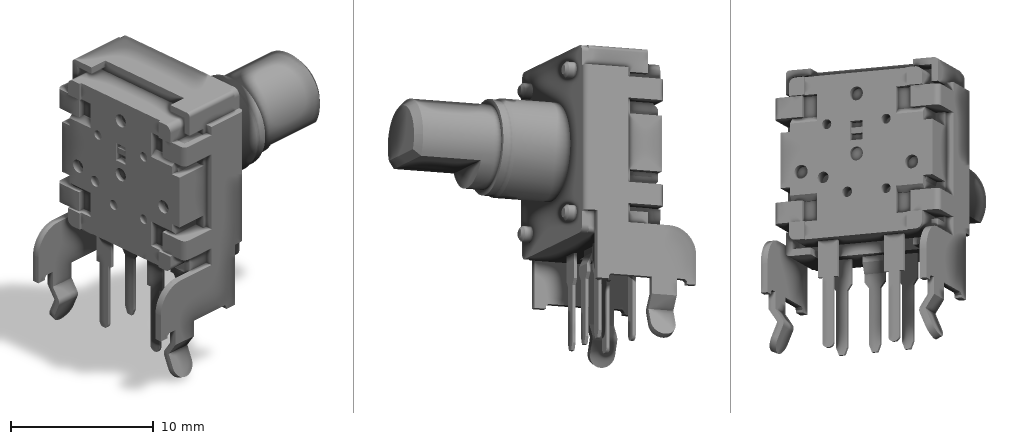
import cadquery as cq
import math


SHAFT_RADIUS = 3.0
SHAFT_TIP_Y = 11.4
SHAFT_TIP_CHAMFER = 0.5
FLAT_DEPTH_Z = -1.5
FLAT_START_Y = 6.39
BUSHING_RADIUS = 3.5
BUSHING_END_Y = 4.12
NECK_RADIUS = 3.4
NECK_START_Y = 4.4
NECK_END_Y = 5.0

PEG_RADIUS = 0.55
PEG_HEIGHT = 0.8
PEG_CHAMFER = 0.2
PEG_X = 4.2
PEG_Z = 5.1

CASE_HALF_WIDTH = 5.75
CASE_HALF_HEIGHT = 6.7
CASE_FRONT_Y = -3.6
CASE_EDGE_RADIUS = 0.29
PLATE_THICKNESS = 0.5
PLATE_CORNER_RADIUS = 0.5
CORNER_WALL = 0.5
CORNER_WALL_FRONT_Y = -4.99
CORNER_WALL_INNER_X = 3.87
CORNER_WALL_INNER_Z = 4.96

BRACKET_THICKNESS = 0.52
BLOCK_HALF_WIDTH = 5.03
BLOCK_HALF_HEIGHT = 5.85
BLOCK_FRONT_Y = -6.02
BLOCK_CORNER_RADIUS = 0.5
WAIST_HALF_HEIGHT = 2.0
PAD_HEIGHT = 0.16
RECESS_INNER_X = 2.99
RECESS_DEPTH = BRACKET_THICKNESS
RECESS_OUTER_Z = 4.55
RECESS_INNER_Z = 2.6
RECESS_CHAMFER = 0.41
SEAT_TOP_GAP = 0.06
GUSSET_WIDTH = 0.1
GUSSET_HEIGHT = 0.29

BRACKET_OUTER_X = CASE_HALF_WIDTH + BRACKET_THICKNESS
BRACKET_HALF_HEIGHT = 5.2
BRACKET_BEND_RADIUS = 0.41
BRACKET_WINDOW_Y = -3.32
CLIP_INNER_Z = 3.0
CLIP_OUTER_Z = 4.53
CLIP_END_X = 4.1
LOWER_BACK_Y = -0.95
LOWER_FRONT_Y = -8.4
LOWER_TOP_Z = -5.9
LOWER_ARC_RADIUS = 2.02
FOOT_PAD_Z = -10.01
BRACKET_BOTTOM_Z = -9.66
FOOT_PAD_CHAMFER = 0.16
BACK_PAD_Y = -1.81
FRONT_PAD_Y = -7.72
LEG_BACK_Y = -5.07
LEG_FRONT_Y = -6.95
LEG_BEND_Z = -10.88
KNEE_OUTER = (5.6, -11.85)
KNEE_RADIUS = 0.5
LEG_TIP_OUTER = (6.4, -13.7)

PIN_THICKNESS = 0.25
PIN_WIDTH = 0.82
PIN_TIP_Z = -13.55
PIN_SPACING = 2.5
PIN_SHOULDER_WIDTH = 1.46
PIN_SHOULDER_Z = -8.49
FRONT_PIN_BACK_Y = -4.92
FRONT_PIN_TIP_RADIUS = 0.37
REAR_PIN_BACK_Y = -2.35
REAR_PIN_TAPER_END_Z = -8.95
REAR_PIN_POINT_Z = -13.05
REAR_PIN_TIP_HALF_WIDTH = 0.2
CENTRE_PIN_SHOULDER_WIDTH = 1.55
CENTRE_PIN_STEP = 0.37
STEP_TOP_Z = -7.1
STEP_BOTTOM_Z = -7.91

LARGE_HOLE_RADIUS = 0.5
LARGE_HOLE_DEPTH = 0.6
CENTRE_HOLE_DEPTH = 0.35
SMALL_HOLE_DEPTH = 0.99
FACE_HOLES = [
    (0, 4.33, LARGE_HOLE_RADIUS, LARGE_HOLE_DEPTH),
    (-4.18, -0.95, LARGE_HOLE_RADIUS, LARGE_HOLE_DEPTH),
    (4.18, -0.95, LARGE_HOLE_RADIUS, LARGE_HOLE_DEPTH),
    (0, 0, LARGE_HOLE_RADIUS, CENTRE_HOLE_DEPTH),
    (-2.25, 2.3, 0.35, SMALL_HOLE_DEPTH),
    (2.25, 2.3, 0.35, SMALL_HOLE_DEPTH),
    (2.25, -2.7, 0.35, SMALL_HOLE_DEPTH),
    (-0.7, -2.7, 0.37, SMALL_HOLE_DEPTH),
    (-2.51, -1.5, 0.41, SMALL_HOLE_DEPTH),
]
SLOT_HALF_WIDTH = 0.47
SLOT_TOP_Z = 2.37
SLOT_BOTTOM_Z = 0.99
SLOT_DEPTH = 0.6
SLOT_BAR_TOP_Z = 1.94
SLOT_BAR_BOTTOM_Z = 1.5
SLOT_BAR_SETBACK = 0.16


def box(x0, x1, y0, y1, z0, z1):
    """Box between two opposite corners."""
    corner = (min(x0, x1), min(y0, y1), min(z0, z1))
    return cq.Workplane("XY").box(abs(x1 - x0), abs(y1 - y0), abs(z1 - z0), centered=False).translate(corner)


def facing_back(y):
    """Workplane at the given Y, with local axes (-X, Z) and its normal along +Y."""
    return cq.Workplane("XZ", origin=(0, y, 0)).transformed(rotate=(0, 180, 0))


def mirrored(part):
    """The part together with its mirror image across X = 0."""
    return part.union(part.mirror("YZ"))


def line_crossing(point, direction, other_point, other_direction):
    """Point where two lines in a plane cross, each given by a point and a direction."""
    gap = (other_point[0] - point[0], other_point[1] - point[1])
    span = direction[0] * other_direction[1] - direction[1] * other_direction[0]
    along = (gap[0] * other_direction[1] - gap[1] * other_direction[0]) / span
    return point[0] + along * direction[0], point[1] + along * direction[1]


def make_shaft():
    shaft = facing_back(NECK_END_Y).circle(SHAFT_RADIUS).extrude(SHAFT_TIP_Y - NECK_END_Y)
    flat = box(-SHAFT_RADIUS, SHAFT_RADIUS, FLAT_START_Y, SHAFT_TIP_Y, -SHAFT_RADIUS, FLAT_DEPTH_Z)
    return shaft.cut(flat).faces(">Y").chamfer(SHAFT_TIP_CHAMFER)


def make_bushing():
    """Bushing with a narrower neck; the shaft stands on the end of the neck."""
    profile = [
        (0, CASE_FRONT_Y),
        (BUSHING_RADIUS, CASE_FRONT_Y),
        (BUSHING_RADIUS, BUSHING_END_Y),
        (NECK_RADIUS, NECK_START_Y),
        (NECK_RADIUS, NECK_END_Y),
        (0, NECK_END_Y),
    ]
    return cq.Workplane("XY").polyline(profile).close().revolve(360, (0, 0, 0), (0, 1, 0))


def make_pegs():
    centres = [(x, z) for x in (-PEG_X, PEG_X) for z in (-PEG_Z, PEG_Z)]
    pegs = facing_back(-PLATE_THICKNESS).pushPoints(centres).circle(PEG_RADIUS)
    return pegs.extrude(PLATE_THICKNESS + PEG_HEIGHT).faces(">Y").chamfer(PEG_CHAMFER)


def make_corner_wall(side_z):
    """L-shaped wall standing on the front of the case at its -X edge, at the top or the bottom."""
    wall = box(-CASE_HALF_WIDTH, -CORNER_WALL_INNER_X, CASE_FRONT_Y, CORNER_WALL_FRONT_Y,
               side_z * CORNER_WALL_INNER_Z, side_z * CASE_HALF_HEIGHT)
    gap = box(-CASE_HALF_WIDTH + CORNER_WALL, 0, CASE_FRONT_Y, CORNER_WALL_FRONT_Y,
              0, side_z * (CASE_HALF_HEIGHT - CORNER_WALL))
    outer_edge = "|Y and <X and >Z" if side_z > 0 else "|Y and <X and <Z"
    return wall.edges(outer_edge).fillet(CASE_EDGE_RADIUS).cut(gap)


def make_case():
    width = 2 * CASE_HALF_WIDTH
    height = 2 * CASE_HALF_HEIGHT
    case = facing_back(CASE_FRONT_Y).rect(width, height).extrude(-CASE_FRONT_Y - PLATE_THICKNESS)
    case = case.edges("|Y").fillet(CASE_EDGE_RADIUS)
    plate = facing_back(-PLATE_THICKNESS).rect(width, height).extrude(PLATE_THICKNESS)
    case = case.union(plate.edges("|Y").fillet(PLATE_CORNER_RADIUS))
    for side_z in (-1, 1):
        case = case.union(mirrored(make_corner_wall(side_z)))
    return case


def make_pad(side_z):
    """Raised pad on the -X end of the block face, above or below the clips."""
    return box(-BLOCK_HALF_WIDTH, -CORNER_WALL_INNER_X, CASE_FRONT_Y, BLOCK_FRONT_Y - PAD_HEIGHT,
               side_z * RECESS_OUTER_Z, side_z * BLOCK_HALF_HEIGHT)


def make_recess(side_z):
    """Recess in the block face behind a -X clip; the mouth is chamfered towards the middle."""
    floor_y = BLOCK_FRONT_Y + RECESS_DEPTH
    mouth_y = BLOCK_FRONT_Y - PAD_HEIGHT
    profile = [
        (mouth_y, RECESS_OUTER_Z),
        (mouth_y, RECESS_INNER_Z),
        (BLOCK_FRONT_Y, RECESS_INNER_Z),
        (BLOCK_FRONT_Y + RECESS_CHAMFER, RECESS_INNER_Z + RECESS_CHAMFER),
        (floor_y, RECESS_INNER_Z + RECESS_CHAMFER),
        (floor_y, RECESS_OUTER_Z),
    ]
    points = [(y, side_z * z) for y, z in profile]
    start = cq.Workplane("YZ", origin=(-BLOCK_HALF_WIDTH, 0, 0))
    return start.polyline(points).close().extrude(BLOCK_HALF_WIDTH - RECESS_INNER_X)


def make_clip_seat(z_bottom, z_top):
    """Part of the block that fills the inside of a -X clip."""
    seat_front_y = BLOCK_FRONT_Y + RECESS_DEPTH
    return box(-CASE_HALF_WIDTH, -BLOCK_HALF_WIDTH, CASE_FRONT_Y, seat_front_y, z_bottom, z_top)


def make_gusset(side_z):
    """Thin wedge between the narrow side of the block and its wider waist."""
    points = [
        (-BLOCK_HALF_WIDTH, side_z * WAIST_HALF_HEIGHT),
        (-BLOCK_HALF_WIDTH - GUSSET_WIDTH, side_z * WAIST_HALF_HEIGHT),
        (-BLOCK_HALF_WIDTH, side_z * (WAIST_HALF_HEIGHT + GUSSET_HEIGHT)),
    ]
    length = CASE_FRONT_Y - BLOCK_FRONT_Y - RECESS_DEPTH
    return cq.Workplane("XZ", origin=(0, CASE_FRONT_Y, 0)).polyline(points).close().extrude(length)


def cut_block_face(block):
    """Blind holes and the barred slot in the block face."""
    for x, z, radius, depth in FACE_HOLES:
        hole = facing_back(BLOCK_FRONT_Y).center(-x, z).circle(radius).extrude(depth)
        block = block.cut(hole)
    slot_back_y = BLOCK_FRONT_Y + SLOT_DEPTH
    bar_front_y = BLOCK_FRONT_Y + SLOT_BAR_SETBACK
    slot = box(-SLOT_HALF_WIDTH, SLOT_HALF_WIDTH, BLOCK_FRONT_Y, slot_back_y, SLOT_BOTTOM_Z, SLOT_TOP_Z)
    bar = box(-SLOT_HALF_WIDTH, SLOT_HALF_WIDTH, bar_front_y, slot_back_y, SLOT_BAR_BOTTOM_Z, SLOT_BAR_TOP_Z)
    return block.cut(slot).union(bar)


def make_block():
    block = box(-BLOCK_HALF_WIDTH, BLOCK_HALF_WIDTH, CASE_FRONT_Y, BLOCK_FRONT_Y,
                -BLOCK_HALF_HEIGHT, BLOCK_HALF_HEIGHT)
    for side_z in (-1, 1):
        block = block.union(mirrored(make_pad(side_z)))
    block = block.edges("|Y").edges("<X or >X").edges("<Z or >Z").fillet(BLOCK_CORNER_RADIUS)
    block = block.union(box(-CASE_HALF_WIDTH, CASE_HALF_WIDTH, CASE_FRONT_Y, BLOCK_FRONT_Y,
                            -WAIST_HALF_HEIGHT, WAIST_HALF_HEIGHT))
    for side_z in (-1, 1):
        block = block.cut(mirrored(make_recess(side_z)))
        block = block.union(mirrored(make_gusset(side_z)))
    block = block.union(mirrored(make_clip_seat(CLIP_INNER_Z, CLIP_OUTER_Z - SEAT_TOP_GAP)))
    block = block.union(mirrored(make_clip_seat(-CLIP_OUTER_Z, -CLIP_INNER_Z)))
    return cut_block_face(block)


def make_bracket_wall():
    """Flat wall of the -X bracket, without its clips and its leg."""
    start = cq.Workplane("YZ", origin=(-BRACKET_OUTER_X, 0, 0))
    arc_middle = LOWER_ARC_RADIUS * (1 - math.sqrt(0.5))
    wall = (
        start.moveTo(0, BRACKET_HALF_HEIGHT)
        .lineTo(BRACKET_WINDOW_Y, BRACKET_HALF_HEIGHT)
        .lineTo(BRACKET_WINDOW_Y, LOWER_TOP_Z)
        .lineTo(LOWER_FRONT_Y + LOWER_ARC_RADIUS, LOWER_TOP_Z)
        .threePointArc((LOWER_FRONT_Y + arc_middle, LOWER_TOP_Z - arc_middle),
                       (LOWER_FRONT_Y, LOWER_TOP_Z - LOWER_ARC_RADIUS))
        .lineTo(LOWER_FRONT_Y, FOOT_PAD_Z)
        .lineTo(FRONT_PAD_Y, FOOT_PAD_Z)
        .lineTo(FRONT_PAD_Y, BRACKET_BOTTOM_Z - FOOT_PAD_CHAMFER)
        .lineTo(FRONT_PAD_Y + FOOT_PAD_CHAMFER, BRACKET_BOTTOM_Z)
        .lineTo(BACK_PAD_Y - FOOT_PAD_CHAMFER, BRACKET_BOTTOM_Z)
        .lineTo(BACK_PAD_Y, BRACKET_BOTTOM_Z - FOOT_PAD_CHAMFER)
        .lineTo(BACK_PAD_Y, FOOT_PAD_Z)
        .lineTo(LOWER_BACK_Y, FOOT_PAD_Z)
        .lineTo(LOWER_BACK_Y, -BRACKET_HALF_HEIGHT)
        .lineTo(0, -BRACKET_HALF_HEIGHT)
        .close()
        .extrude(BRACKET_THICKNESS)
    )
    return wall.edges("|Z and <X and >Y").fillet(BRACKET_BEND_RADIUS)


def make_clip(z_bottom, z_top):
    """Arm of the -X bracket, bent inward over the front of the block."""
    arm = box(-BRACKET_OUTER_X, -CLIP_END_X, BRACKET_WINDOW_Y, BLOCK_FRONT_Y, z_bottom, z_top)
    inside = box(-CASE_HALF_WIDTH, -CLIP_END_X, BRACKET_WINDOW_Y, BLOCK_FRONT_Y + BRACKET_THICKNESS,
                 z_bottom, z_top)
    return arm.edges("|Z and <X and <Y").fillet(BRACKET_BEND_RADIUS).cut(inside)


def make_leg():
    """Leg under the -X bracket: cranked inward to a knee, then splayed outward to a round tip."""
    width = LEG_BACK_Y - LEG_FRONT_Y
    run_x = LEG_TIP_OUTER[0] - KNEE_OUTER[0]
    drop_z = KNEE_OUTER[1] - LEG_TIP_OUTER[1]
    length = math.hypot(run_x, drop_z)
    inward = (drop_z / length, -run_x / length)
    splay_inner = (
        -KNEE_OUTER[0] + BRACKET_THICKNESS * inward[0],
        KNEE_OUTER[1] + BRACKET_THICKNESS * inward[1],
    )
    knee_inner = line_crossing(
        (-CASE_HALF_WIDTH, LEG_BEND_Z),
        (BRACKET_OUTER_X - KNEE_OUTER[0], KNEE_OUTER[1] - LEG_BEND_Z),
        splay_inner,
        (run_x, drop_z),
    )
    crank_points = [
        (-BRACKET_OUTER_X, BRACKET_BOTTOM_Z),
        (-BRACKET_OUTER_X, LEG_BEND_Z),
        (-KNEE_OUTER[0], KNEE_OUTER[1]),
        splay_inner,
        knee_inner,
        (-CASE_HALF_WIDTH, LEG_BEND_Z),
        (-CASE_HALF_WIDTH, BRACKET_BOTTOM_Z),
    ]
    crank = cq.Workplane("XZ", origin=(0, LEG_BACK_Y, 0)).polyline(crank_points).close().extrude(width)
    splay_plane = cq.Plane(
        origin=(-KNEE_OUTER[0], (LEG_BACK_Y + LEG_FRONT_Y) / 2, KNEE_OUTER[1]),
        xDir=(0, 1, 0),
        normal=(inward[0], 0, inward[1]),
    )
    splay = (
        cq.Workplane(splay_plane)
        .moveTo(-width / 2, 0)
        .lineTo(-width / 2, width / 2 - length)
        .threePointArc((0, -length), (width / 2, width / 2 - length))
        .lineTo(width / 2, 0)
        .close()
        .extrude(BRACKET_THICKNESS)
    )
    return crank.union(splay, clean=True).edges("|Y and >X").fillet(KNEE_RADIUS)


def make_brackets():
    bracket = make_bracket_wall().union(make_leg())
    bracket = bracket.union(make_clip(CLIP_INNER_Z, CLIP_OUTER_Z))
    bracket = bracket.union(make_clip(-CLIP_OUTER_Z, -CLIP_INNER_Z))
    return mirrored(bracket)


def make_front_pin(x):
    """Straight pin out of the block bottom, with a square shoulder and a rounded tip."""
    half = PIN_WIDTH / 2
    shoulder_half = PIN_SHOULDER_WIDTH / 2
    front_y = FRONT_PIN_BACK_Y - PIN_THICKNESS
    pin = box(x - half, x + half, front_y, FRONT_PIN_BACK_Y, PIN_TIP_Z, PIN_SHOULDER_Z)
    pin = pin.edges("|Y and <Z").fillet(FRONT_PIN_TIP_RADIUS)
    shoulder = box(x - shoulder_half, x + shoulder_half, front_y, FRONT_PIN_BACK_Y,
                   PIN_SHOULDER_Z, -BLOCK_HALF_HEIGHT)
    return pin.union(shoulder)


def make_rear_pin(x, shoulder_width, step):
    """Pin out of the case bottom, with a tapered shoulder and a pointed tip.

    Its upper end stands forward of the rest by the given step, joined by a slope.
    """
    half = PIN_WIDTH / 2
    shoulder_half = shoulder_width / 2
    right_edge = [
        (shoulder_half, -CASE_HALF_HEIGHT),
        (shoulder_half, PIN_SHOULDER_Z),
        (half, REAR_PIN_TAPER_END_Z),
        (half, REAR_PIN_POINT_Z),
        (REAR_PIN_TIP_HALF_WIDTH, PIN_TIP_Z),
    ]
    left_edge = [(-across, z) for across, z in reversed(right_edge)]
    outline = cq.Workplane("XZ", origin=(x, 0, 0)).polyline(right_edge + left_edge).close()
    if step == 0:
        return outline.extrude(PIN_THICKNESS).translate((0, REAR_PIN_BACK_Y, 0))
    back = [
        (REAR_PIN_BACK_Y - step, -CASE_HALF_HEIGHT),
        (REAR_PIN_BACK_Y - step, STEP_TOP_Z),
        (REAR_PIN_BACK_Y, STEP_BOTTOM_Z),
        (REAR_PIN_BACK_Y, PIN_TIP_Z),
    ]
    front = [(y - PIN_THICKNESS, z) for y, z in reversed(back)]
    stepped = cq.Workplane("YZ", origin=(x - shoulder_half, 0, 0)).polyline(back + front).close()
    return stepped.extrude(shoulder_width).intersect(outline.extrude(-CASE_FRONT_Y))


def make_housing():
    housing = make_case().union(make_bushing()).union(make_pegs())
    housing = housing.union(make_block()).union(make_brackets())
    for x in (-PIN_SPACING, PIN_SPACING):
        housing = housing.union(make_front_pin(x)).union(make_rear_pin(x, PIN_SHOULDER_WIDTH, 0))
    housing = housing.union(make_rear_pin(0, CENTRE_PIN_SHOULDER_WIDTH, CENTRE_PIN_STEP))
    return housing


shaft = make_shaft()
housing = make_housing()
result = cq.Compound.makeCompound([housing.solids().val(), shaft.solids().val()])